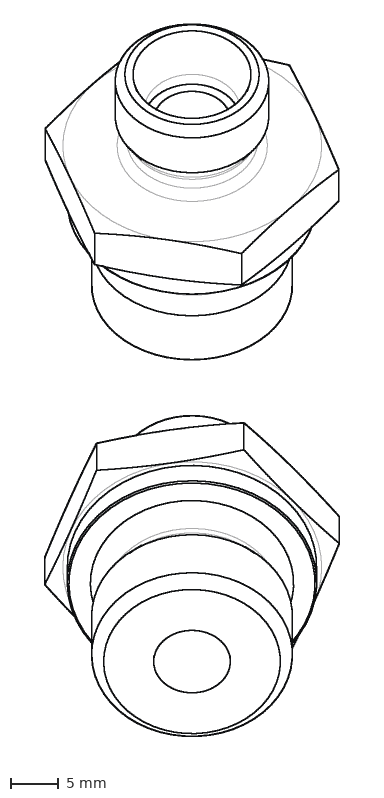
import cadquery as cq
import math

TOTAL_HEIGHT = 34.0
LARGE_NECK_MIDDLE = 10.57
COLLAR_BOTTOM = 14.08
HEX_BOTTOM = 17.0
HEX_TOP = 23.0
SMALL_NECK_TOP = 25.33

LARGE_THREAD_DIAMETER = 20.95
LARGE_NECK_DIAMETER = 18.4
COLLAR_DIAMETER = 26.0
SMALL_NECK_DIAMETER = 13.7
SMALL_THREAD_DIAMETER = 16.0

LARGE_END_CHAMFER = 1.25
COLLAR_CHAMFER = 0.17
SMALL_END_CHAMFER_HEIGHT = 1.0
SMALL_END_FACE_DIAMETER = 14.0
NECK_FILLET = 1.0

THREAD_RUNOUT_ANGLE = 30.0
FLARE_ANGLE = 23.0

HEX_ACROSS_FLATS = 27.0
HEX_CHAMFER_ANGLE = 15.0

BORE_DIAMETER = 8.0
SEAT_DIAMETER = 10.0
SEAT_DEPTH = 7.0
CONE_MOUTH_DIAMETER = 12.3
CONE_HALF_ANGLE = 12.0


def revolve_profile(points):
    """Revolve a closed outline of (radius, height) points about Z."""
    return cq.Workplane("XZ").polyline(points).close().revolve(360, (0, 0), (0, 1))


def fillet_point(neck_radius, middle_height, angle):
    """Point on a neck fillet where its tangent leans by angle; positive is above the middle."""
    lean = math.radians(angle)
    return (
        neck_radius + NECK_FILLET * (1 - math.cos(lean)),
        middle_height + NECK_FILLET * math.sin(lean),
    )


def make_lower_body():
    """Large threaded end, rounded undercut, flare and sealing collar."""
    thread_radius = LARGE_THREAD_DIAMETER / 2
    neck_radius = LARGE_NECK_DIAMETER / 2
    collar_radius = COLLAR_DIAMETER / 2

    arc_start = fillet_point(neck_radius, LARGE_NECK_MIDDLE, -THREAD_RUNOUT_ANGLE)
    arc_end = fillet_point(neck_radius, LARGE_NECK_MIDDLE, FLARE_ANGLE)
    runout_slope = math.tan(math.radians(THREAD_RUNOUT_ANGLE))
    thread_top = arc_start[1] - (thread_radius - arc_start[0]) / runout_slope
    flare_slope = math.tan(math.radians(FLARE_ANGLE))
    flare_radius = arc_end[0] + (COLLAR_BOTTOM - arc_end[1]) * flare_slope

    return (
        cq.Workplane("XZ")
        .lineTo(thread_radius - LARGE_END_CHAMFER, 0)
        .lineTo(thread_radius, LARGE_END_CHAMFER)
        .lineTo(thread_radius, thread_top)
        .lineTo(*arc_start)
        .threePointArc((neck_radius, LARGE_NECK_MIDDLE), arc_end)
        .lineTo(flare_radius, COLLAR_BOTTOM)
        .lineTo(collar_radius - COLLAR_CHAMFER, COLLAR_BOTTOM)
        .lineTo(collar_radius, COLLAR_BOTTOM + COLLAR_CHAMFER)
        .lineTo(collar_radius, HEX_BOTTOM)
        .lineTo(0, HEX_BOTTOM)
        .close()
        .revolve(360, (0, 0), (0, 1))
    )


def make_hexagon():
    """Hexagon with its corners chamfered conically at both ends."""
    corner_radius = HEX_ACROSS_FLATS / math.sqrt(3)
    flat_radius = HEX_ACROSS_FLATS / 2
    chamfer_drop = (corner_radius - flat_radius) * math.tan(math.radians(HEX_CHAMFER_ANGLE))
    prism = (
        cq.Workplane("XY", origin=(0, 0, HEX_BOTTOM))
        .polygon(6, 2 * corner_radius)
        .extrude(HEX_TOP - HEX_BOTTOM)
        .rotate((0, 0, 0), (0, 0, 1), 30)
    )
    envelope = revolve_profile([
        (0, HEX_BOTTOM),
        (flat_radius, HEX_BOTTOM),
        (corner_radius, HEX_BOTTOM + chamfer_drop),
        (corner_radius, HEX_TOP - chamfer_drop),
        (flat_radius, HEX_TOP),
        (0, HEX_TOP),
    ])
    return prism.intersect(envelope)


def make_upper_body():
    """Small threaded end with a neck filleted into the hexagon and the thread runout."""
    thread_radius = SMALL_THREAD_DIAMETER / 2
    neck_radius = SMALL_NECK_DIAMETER / 2
    lower_arc_top = HEX_TOP + NECK_FILLET
    lower_arc_middle = fillet_point(neck_radius, lower_arc_top, -45)
    upper_arc_middle = fillet_point(neck_radius, SMALL_NECK_TOP, THREAD_RUNOUT_ANGLE / 2)
    upper_arc_end = fillet_point(neck_radius, SMALL_NECK_TOP, THREAD_RUNOUT_ANGLE)
    runout_slope = math.tan(math.radians(THREAD_RUNOUT_ANGLE))
    thread_bottom = upper_arc_end[1] + (thread_radius - upper_arc_end[0]) / runout_slope

    return (
        cq.Workplane("XZ")
        .moveTo(0, HEX_TOP)
        .lineTo(neck_radius + NECK_FILLET, HEX_TOP)
        .threePointArc(lower_arc_middle, (neck_radius, lower_arc_top))
        .lineTo(neck_radius, SMALL_NECK_TOP)
        .threePointArc(upper_arc_middle, upper_arc_end)
        .lineTo(thread_radius, thread_bottom)
        .lineTo(thread_radius, TOTAL_HEIGHT - SMALL_END_CHAMFER_HEIGHT)
        .lineTo(SMALL_END_FACE_DIAMETER / 2, TOTAL_HEIGHT)
        .lineTo(0, TOTAL_HEIGHT)
        .close()
        .revolve(360, (0, 0), (0, 1))
    )


def make_bore():
    """Through hole that opens into a tube seat and a sealing cone at the top."""
    seat_radius = SEAT_DIAMETER / 2
    mouth_radius = CONE_MOUTH_DIAMETER / 2
    cone_depth = (mouth_radius - seat_radius) / math.tan(math.radians(CONE_HALF_ANGLE))
    return revolve_profile([
        (0, 0),
        (BORE_DIAMETER / 2, 0),
        (BORE_DIAMETER / 2, TOTAL_HEIGHT - SEAT_DEPTH),
        (seat_radius, TOTAL_HEIGHT - SEAT_DEPTH),
        (seat_radius, TOTAL_HEIGHT - cone_depth),
        (mouth_radius, TOTAL_HEIGHT),
        (0, TOTAL_HEIGHT),
    ])


body = make_lower_body().union(make_hexagon()).union(make_upper_body())
result = body.cut(make_bore())